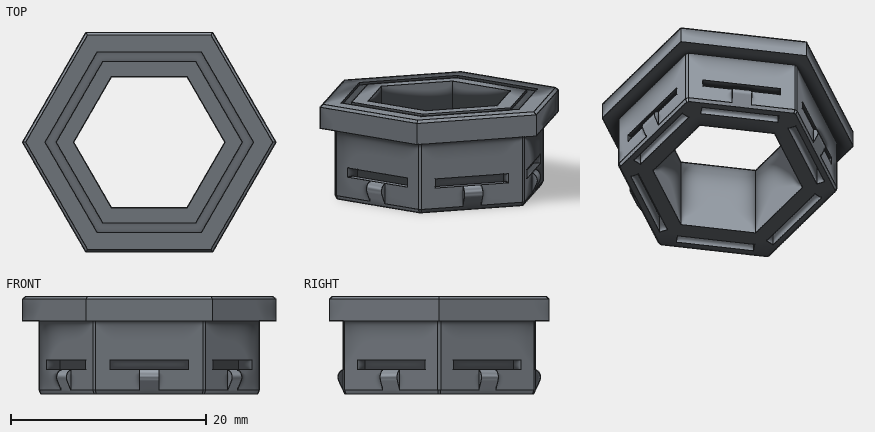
import cadquery as cq
import math

SIDES = 6
CORNER_RATIO = 1 / math.cos(math.pi / SIDES)

TOTAL_HEIGHT = 10.0
FLANGE_CORNER_RADIUS = 13.0
FLANGE_APOTHEM = FLANGE_CORNER_RADIUS / CORNER_RATIO
FLANGE_HEIGHT = 2.5
FLANGE_CHAMFER = 0.29

BODY_APOTHEM = 9.85
BODY_CORNER_CUT = 0.18
BODY_HEIGHT = TOTAL_HEIGHT - FLANGE_HEIGHT
LEAD_IN_HEIGHT = 0.4
LEAD_IN_INSET = 0.18

BORE_APOTHEM = 6.7

GROOVE_OUTER_APOTHEM = 9.25
GROOVE_INNER_APOTHEM = 8.25
GROOVE_DEPTH = 0.25

SLOT_WIDTH = 8.0
SLOT_HEIGHT = 0.95
SLOT_DEPTH = 1.6
SLOT_BOTTOM = 2.52
TONGUE_THICKNESS = 0.75

LATCH_WIDTH = 2.0
LATCH_APEX_HEIGHT = 2.0
LATCH_NOSE_RADIUS = 0.83
LATCH_ROOT = 0.52


def hex_prism(apothem, bottom, height):
    """Hexagonal prism with corners on the X axis."""
    corner_diameter = 2 * apothem * CORNER_RATIO
    return cq.Workplane("XY").workplane(offset=bottom).polygon(SIDES, corner_diameter).extrude(height)


def make_body():
    body = hex_prism(BODY_APOTHEM, LEAD_IN_HEIGHT, BODY_HEIGHT - LEAD_IN_HEIGHT)
    body = body.edges("|Z").chamfer(BODY_CORNER_CUT)
    lead_in_angle = math.degrees(math.atan(LEAD_IN_INSET / LEAD_IN_HEIGHT))
    underside = body.faces("<Z").workplane()
    return underside.add(body.faces("<Z").wires()).toPending().extrude(LEAD_IN_HEIGHT, taper=lead_in_angle)


def make_flange():
    flange = hex_prism(FLANGE_APOTHEM, BODY_HEIGHT, FLANGE_HEIGHT)
    return flange.faces(">Z").edges().chamfer(FLANGE_CHAMFER)


def make_groove():
    bottom = TOTAL_HEIGHT - GROOVE_DEPTH
    outer = hex_prism(GROOVE_OUTER_APOTHEM, bottom, GROOVE_DEPTH)
    island = hex_prism(GROOVE_INNER_APOTHEM, bottom, GROOVE_DEPTH)
    return outer.cut(island)


def side_extrusion(profile, width):
    """Extrude a closed (Y, Z) profile along X, centred on X = 0."""
    return cq.Workplane("YZ").polyline(profile).close().extrude(width / 2, both=True)


def make_slot():
    """Slot in the body side facing -Y, with a gap behind the springy tongue open to the bottom."""
    mouth = -BODY_APOTHEM
    back = mouth + SLOT_DEPTH
    gap_front = mouth + TONGUE_THICKNESS
    slot_top = SLOT_BOTTOM + SLOT_HEIGHT
    profile = [
        (mouth, SLOT_BOTTOM),
        (gap_front, SLOT_BOTTOM),
        (gap_front, 0),
        (back, 0),
        (back, slot_top),
        (mouth, slot_top),
    ]
    return side_extrusion(profile, SLOT_WIDTH)


def make_latch():
    """Round-nosed latch on the body side facing -Y; its lower slope continues the lead-in."""
    rim = BODY_APOTHEM - LEAD_IN_INSET
    apex = rim + LATCH_APEX_HEIGHT * LEAD_IN_INSET / LEAD_IN_HEIGHT
    root = BODY_APOTHEM - LATCH_ROOT
    profile = [
        (-root, 0),
        (-rim, 0),
        (-apex, LATCH_APEX_HEIGHT),
        (-BODY_APOTHEM, SLOT_BOTTOM),
        (-root, SLOT_BOTTOM),
    ]
    latch = side_extrusion(profile, LATCH_WIDTH)
    return latch.edges("<Y").fillet(LATCH_NOSE_RADIUS)


def turned_to_side(feature, side):
    """Copy of a -Y side feature turned to the given side of the hexagon."""
    return feature.rotate((0, 0, 0), (0, 0, 1), side * 360 / SIDES)


result = make_body().union(make_flange())
result = result.cut(make_groove())
result = result.cut(hex_prism(BORE_APOTHEM, 0, TOTAL_HEIGHT))

slot = make_slot()
latch = make_latch()
for side in range(SIDES):
    result = result.cut(turned_to_side(slot, side))
    result = result.union(turned_to_side(latch, side))